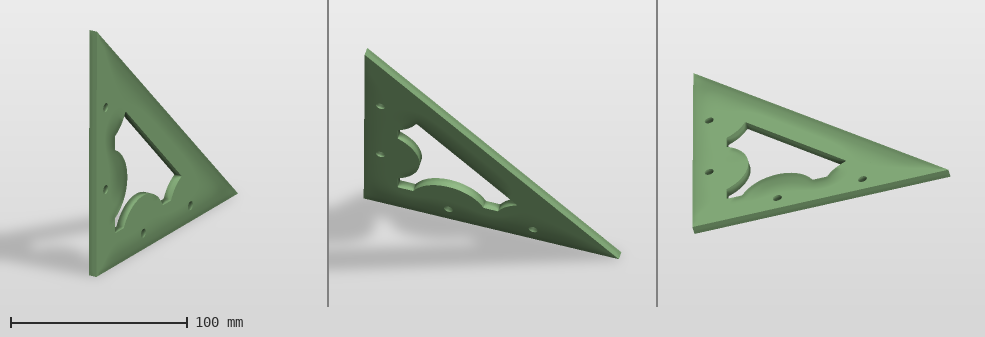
import cadquery as cq

thickness = 5.0
length = 150.0
height = 149.0
foot_tip_rise = 0.5
top_tip_shift = 0.6

hole_diameter = 5.2
hole_inset = 9.9
hole_spacing = 49.8
hole_positions = [hole_spacing, 2 * hole_spacing]

window_inset = 20.0
window_leg_sum = 121.4
land_radius = 23.0
corner_radius = 0.6

hole_centers = [(place, hole_inset) for place in hole_positions]
hole_centers += [(hole_inset, place) for place in hole_positions]


def prism(points):
    """Extrude a closed YZ outline across the plate thickness."""
    return cq.Workplane("YZ").polyline(points).close().extrude(thickness)


def cylinders(diameter):
    """Make a cylinder across the thickness at every hole center."""
    return cq.Workplane("YZ").pushPoints(hole_centers).circle(diameter / 2).extrude(thickness)


plate = prism([(0, 0), (length, foot_tip_rise), (top_tip_shift, height)])

window_end = window_leg_sum - window_inset
opening = prism([
    (window_inset, window_inset),
    (window_end, window_inset),
    (window_inset, window_end),
])
opening = opening.cut(cylinders(2 * land_radius)).edges("|X").fillet(corner_radius)

result = plate.cut(opening).cut(cylinders(hole_diameter))

result = result.translate((-thickness / 2, 0, 0))